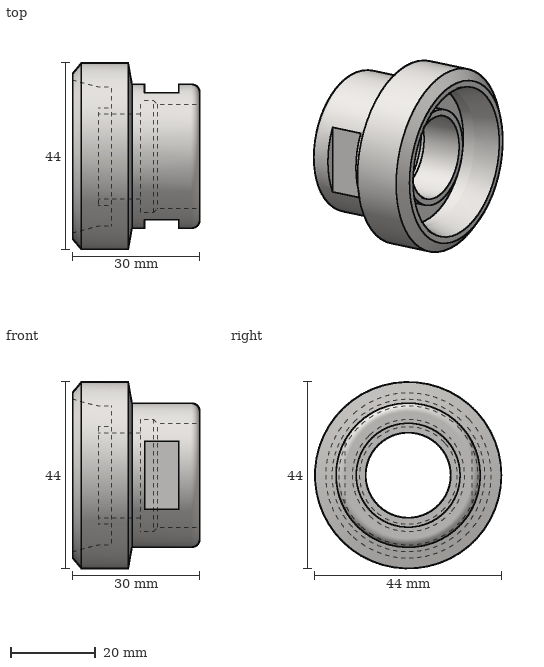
import cadquery as cq
import math

length = 30.0
flange_diameter = 44.0
hub_diameter = 34.0

shoulder_x = 14.0
shoulder_angle = 10.0
front_face_diameter = 39.0
front_chamfer_angle = 40.0

hub_fillet = 2.0
flat_start_x = 17.0
flat_length = 8.0
across_flats = 30.0

mouth_diameter = 36.0
socket_diameter = 32.8
socket_taper_angle = 15.0
socket_depth = 9.15
tube_diameter = 23.0
tube_front_x = 6.0
bore_diameter = 20.0

thread_minor_diameter = 24.5
relief_diameter = 26.44
relief_start_x = 16.0
relief_width = 3.0
relief_exit_angle = 45.0


def frustum(start_x, end_x, start_diameter, end_diameter):
    """Solid of revolution about X with a straight, possibly sloping, side."""
    profile = [
        (start_x, 0),
        (start_x, start_diameter / 2),
        (end_x, end_diameter / 2),
        (end_x, 0),
    ]
    return cq.Workplane("XY").polyline(profile).close().revolve(360, (0, 0, 0), (1, 0, 0))


def cylinder(start_x, end_x, diameter):
    return frustum(start_x, end_x, diameter, diameter)


def make_body():
    front_chamfer_height = (flange_diameter - front_face_diameter) / 2
    front_chamfer_end_x = front_chamfer_height * math.tan(math.radians(front_chamfer_angle))
    shoulder_slope_length = (flange_diameter - hub_diameter) / 2 * math.tan(math.radians(shoulder_angle))
    rim_end_x = shoulder_x - shoulder_slope_length
    hub = cylinder(shoulder_x, length, hub_diameter).faces(">X").edges().fillet(hub_fillet)
    return (
        frustum(0, front_chamfer_end_x, front_face_diameter, flange_diameter)
        .union(cylinder(front_chamfer_end_x, rim_end_x, flange_diameter))
        .union(frustum(rim_end_x, shoulder_x, flange_diameter, hub_diameter))
        .union(hub)
    )


def make_socket():
    taper_length = (mouth_diameter - socket_diameter) / 2 / math.tan(math.radians(socket_taper_angle))
    taper = frustum(0, taper_length, mouth_diameter, socket_diameter)
    pocket = taper.union(cylinder(taper_length, socket_depth, socket_diameter))
    return pocket.cut(cylinder(tube_front_x, socket_depth, tube_diameter))


def make_rear_hole():
    relief_end_x = relief_start_x + relief_width
    relief_depth = (relief_diameter - thread_minor_diameter) / 2
    thread_start_x = relief_end_x + relief_depth / math.tan(math.radians(relief_exit_angle))
    return (
        cylinder(relief_start_x, relief_end_x, relief_diameter)
        .union(frustum(relief_end_x, thread_start_x, relief_diameter, thread_minor_diameter))
        .union(cylinder(thread_start_x, length, thread_minor_diameter))
    )


def make_bore():
    return cylinder(0, length, bore_diameter)


def make_flat_cut(side):
    cut_height = hub_diameter / 2
    return cq.Workplane("XY").box(flat_length, cut_height, hub_diameter).translate(
        (flat_start_x + flat_length / 2, side * (across_flats + cut_height) / 2, 0)
    )


result = make_body().cut(make_socket()).cut(make_bore()).cut(make_rear_hole())
for side in (-1, 1):
    result = result.cut(make_flat_cut(side))